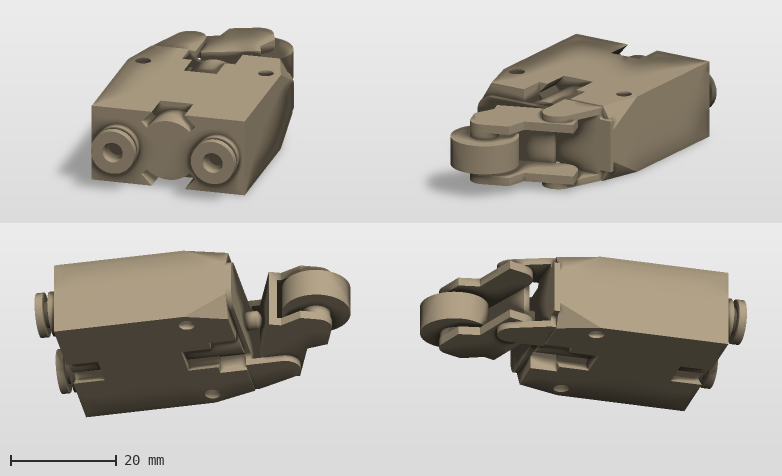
import cadquery as cq
import math


width = 30.0
height = 15.0
length = 33.05
half_width = width / 2
half_height = height / 2
bevel_x = 2.45
bevel_y = 8.1
bevel_z = 4.2
mount_hole_diameter = 3.0
mount_hole_x = 12.05
mount_hole_y = 25.0

core_radius = 5.95
slot_half_width = 3.25
slot_corner = 5.3
port_slot_length = 6.05
lever_slot_length = 10.9
notch_half_width = 5.2
notch_length = 5.15
notch_floor_z = 3.9

fitting_x = 9.8
fitting_diameter = 8.5
fitting_groove_diameter = 5.0
fitting_bore_diameter = 4.0
flange_thickness = 1.45
groove_width = 1.0
fitting_length = 2 * flange_thickness + groove_width

plate_thickness = 1.05
plate_half_height = 5.05
plate_corner_radius = 3.05
plate_back = length + plate_thickness
ear_thickness = 1.3
ear_outer_z = 7.2
ear_inner_z = ear_outer_z - ear_thickness
ear_radius = 3.0
ear_left = -12.45
ear_left_relief = 0.6
ear_right_relief = 0.8
pivot_x = -7.0
pivot_y = 40.0
ear_right = pivot_x + ear_radius

plunger_diameter = 3.5
plunger_shoulder_y = 36.25
plunger_dome_height = 0.75

lever_angle = 20
arm_thickness = 1.65
arm_inner_z = ear_inner_z - arm_thickness
arm_tail_radius = 3.75
arm_top_v = 3.4
arm_step_u = 5.8
arm_head_left_u = 7.85
arm_head_top_v = 7.0
arm_head_right_u = 16.05
arm_head_radius = 2.95
arm_head_low_v = 0.6
arm_neck_v = -2.65
web_start_u = 1.6
web_end_u = 13.0
web_thickness = 1.25
web_end_thickness = 1.6
web_top_v = -arm_tail_radius
web_bottom_v = web_top_v - web_thickness

overall_length = 58.75
roller_diameter = 13.0
roller_width = 5.6
roller_hub_diameter = 5.4
roller_x = 4.1
roller_y = overall_length - fitting_length - roller_diameter / 2


def y_extrusion(start_y):
    """Workplane with local axes X and Z, facing -Y, so negative extrusions run toward +Y."""
    return cq.Workplane("XZ", origin=(0, start_y, 0))


def cylinder_along_y(diameter, start_y, end_y, x=0.0):
    return y_extrusion(start_y).center(x, 0).circle(diameter / 2).extrude(start_y - end_y)


def box_between(x_range, y_range, z_range):
    lows, highs = zip(x_range, y_range, z_range)
    sizes = [high - low for low, high in zip(lows, highs)]
    return cq.Workplane().box(*sizes, centered=False).translate(lows)


def corner_bevel():
    """Prism standing on the sloped triangle that bevels the +X, +Z corner of the lever end."""
    along_x = cq.Vector(half_width - bevel_x, length, half_height)
    along_y = cq.Vector(half_width, length - bevel_y, half_height)
    along_z = cq.Vector(half_width, length, half_height - bevel_z)
    outward = cq.Vector(1 / bevel_x, 1 / bevel_y, 1 / bevel_z).normalized()
    triangle = cq.Wire.makePolygon([along_x, along_y, along_z], close=True)
    return cq.Workplane(cq.Solid.extrudeLinear(triangle, [], outward * bevel_x))


def undercut_slot(start_y, end_y):
    """Slot open to the top, widening down to a floor that follows the round core."""
    core_corner = core_radius * math.sqrt(0.5)
    return (
        y_extrusion(start_y)
        .moveTo(-slot_half_width, half_height)
        .lineTo(-slot_corner, slot_corner)
        .lineTo(-core_corner, core_corner)
        .threePointArc((0, core_radius), (core_corner, core_corner))
        .lineTo(slot_corner, slot_corner)
        .lineTo(slot_half_width, half_height)
        .close()
        .extrude(start_y - end_y)
    )


def lever_end_notch():
    """Wide, straight-walled mouth of the slot at the lever end, around the core."""
    start_y = length - notch_length
    notch = box_between(
        (-notch_half_width, notch_half_width), (start_y, length), (notch_floor_z, half_height)
    )
    return notch.cut(cylinder_along_y(2 * core_radius, start_y, length))


def housing_block():
    block = box_between((-half_width, half_width), (0, length), (-half_height, half_height))
    right_bevel = corner_bevel()
    for bevel in (right_bevel, right_bevel.mirror("YZ")):
        block = block.cut(bevel).cut(bevel.mirror("XY"))
    upper_slots = (
        undercut_slot(0, port_slot_length),
        undercut_slot(length - lever_slot_length, length - notch_length),
        lever_end_notch(),
    )
    for slot in upper_slots:
        block = block.cut(slot).cut(slot.mirror("XY"))
    mount_holes = (
        cq.Workplane("XY", origin=(0, 0, -half_height))
        .pushPoints([(-mount_hole_x, mount_hole_y), (mount_hole_x, mount_hole_y)])
        .circle(mount_hole_diameter / 2)
        .extrude(height)
    )
    return block.cut(mount_holes)


def fitting(x):
    """Grooved collar on the port face, bored down to that face."""
    groove_start = -flange_thickness - groove_width
    collar = cylinder_along_y(fitting_groove_diameter, -fitting_length, 0, x)
    collar = collar.union(cylinder_along_y(fitting_diameter, -fitting_length, groove_start, x))
    collar = collar.union(cylinder_along_y(fitting_diameter, -flange_thickness, 0, x))
    return collar.cut(cylinder_along_y(fitting_bore_diameter, -fitting_length, 0, x))


def ear_root():
    """Step of the end plate under the upper ear, with a concave relief on each side."""
    left_start = ear_left - ear_left_relief
    right_end = ear_right + ear_right_relief
    diagonal = 1 - math.sqrt(0.5)
    left_mid = (ear_left - ear_left_relief * diagonal, plate_half_height + ear_left_relief * diagonal)
    right_mid = (ear_right + ear_right_relief * diagonal, plate_half_height + ear_right_relief * diagonal)
    return (
        y_extrusion(length)
        .moveTo(left_start, 0)
        .lineTo(left_start, plate_half_height)
        .threePointArc(left_mid, (ear_left, plate_half_height + ear_left_relief))
        .lineTo(ear_left, ear_outer_z)
        .lineTo(ear_right, ear_outer_z)
        .lineTo(ear_right, plate_half_height + ear_right_relief)
        .threePointArc(right_mid, (right_end, plate_half_height))
        .lineTo(right_end, 0)
        .close()
        .extrude(-plate_thickness)
    )


def ear():
    """Upper ear: straight on the right, its left edge tangent to the round end at the pivot."""
    reach_x = ear_left - pivot_x
    reach_y = plate_back - pivot_y
    to_base = math.atan2(reach_y, reach_x)
    tangent_angle = to_base - math.acos(ear_radius / math.hypot(reach_x, reach_y))
    tangent = (
        pivot_x + ear_radius * math.cos(tangent_angle),
        pivot_y + ear_radius * math.sin(tangent_angle),
    )
    return (
        cq.Workplane("XY", origin=(0, 0, ear_inner_z))
        .moveTo(ear_left, length)
        .lineTo(ear_left, plate_back)
        .lineTo(*tangent)
        .threePointArc((pivot_x, pivot_y + ear_radius), (ear_right, pivot_y))
        .lineTo(ear_right, length)
        .close()
        .extrude(ear_thickness)
    )


def bracket():
    plate = box_between(
        (-half_width, half_width), (length, plate_back), (-plate_half_height, plate_half_height)
    )
    plate = plate.edges("|Y and >X").fillet(plate_corner_radius)
    upper = ear_root().union(ear())
    plate = plate.union(upper).union(upper.mirror("XY"))
    return plate.cut(cylinder_along_y(plunger_diameter, length, plate_back))


def plunger():
    """Round pin with a domed tip that stops just under the lever."""
    radius = plunger_diameter / 2
    tip_y = plunger_shoulder_y + plunger_dome_height
    dome_radius = (radius**2 + plunger_dome_height**2) / (2 * plunger_dome_height)
    dome_center_y = tip_y - dome_radius
    dome_mid_x = radius / 2
    dome_mid_y = dome_center_y + math.sqrt(dome_radius**2 - dome_mid_x**2)
    return (
        cq.Workplane("XY")
        .moveTo(0, length)
        .lineTo(radius, length)
        .lineTo(radius, plunger_shoulder_y)
        .threePointArc((dome_mid_x, dome_mid_y), (0, tip_y))
        .close()
        .revolve(360, (0, 0, 0), (0, 1, 0))
    )


def make_housing():
    housing = housing_block().union(plunger())
    for x in (-fitting_x, fitting_x):
        housing = housing.union(fitting(x))
    return housing


def lever_arm():
    """Upper side arm, in the lever frame."""
    diagonal = arm_tail_radius * math.sqrt(0.5)
    head_center = (arm_head_right_u - arm_head_radius, arm_head_top_v - arm_head_radius)
    head_diagonal = arm_head_radius * math.sqrt(0.5)
    return (
        cq.Workplane("XY", origin=(0, 0, arm_inner_z))
        .moveTo(-arm_tail_radius, 0)
        .lineTo(-arm_tail_radius, arm_top_v)
        .lineTo(arm_step_u, arm_top_v)
        .lineTo(arm_head_left_u, arm_head_top_v)
        .lineTo(head_center[0], arm_head_top_v)
        .threePointArc(
            (head_center[0] + head_diagonal, head_center[1] + head_diagonal),
            (arm_head_right_u, head_center[1]),
        )
        .lineTo(arm_head_right_u, arm_head_low_v)
        .lineTo(web_end_u, arm_neck_v)
        .lineTo(web_end_u, web_top_v)
        .lineTo(0, web_top_v)
        .threePointArc((-diagonal, -diagonal), (-arm_tail_radius, 0))
        .close()
        .extrude(arm_thickness)
    )


def lever_web():
    """Cross web between the arms, slightly thicker toward its far end, in the lever frame."""
    return (
        cq.Workplane("XY", origin=(0, 0, -ear_inner_z))
        .moveTo(web_start_u, web_bottom_v)
        .lineTo(web_end_u, web_bottom_v)
        .lineTo(web_end_u, web_bottom_v + web_end_thickness)
        .lineTo(web_start_u, web_top_v)
        .close()
        .extrude(2 * ear_inner_z)
    )


def roller():
    hub_length = 2 * arm_inner_z
    center = (roller_x, roller_y)
    wheel = cq.Workplane("XY", origin=(*center, -roller_width / 2))
    hub = cq.Workplane("XY", origin=(*center, -hub_length / 2))
    wheel = wheel.circle(roller_diameter / 2).extrude(roller_width)
    return wheel.union(hub.circle(roller_hub_diameter / 2).extrude(hub_length))


def roller_lever():
    """Channel of two arms and a web, tilted about the pivot, carrying the roller."""
    arm = lever_arm()
    channel = lever_web().union(arm).union(arm.mirror("XY"))
    channel = channel.rotate((0, 0, 0), (0, 0, 1), lever_angle).translate((pivot_x, pivot_y, 0))
    return channel.union(roller())


def make_lever_unit():
    """Bracket on the lever end of the housing, with the roller lever held between its ears."""
    return bracket().union(roller_lever())


housing = make_housing()
lever_unit = make_lever_unit()

result = cq.Compound.makeCompound([*housing.solids().vals(), *lever_unit.solids().vals()])